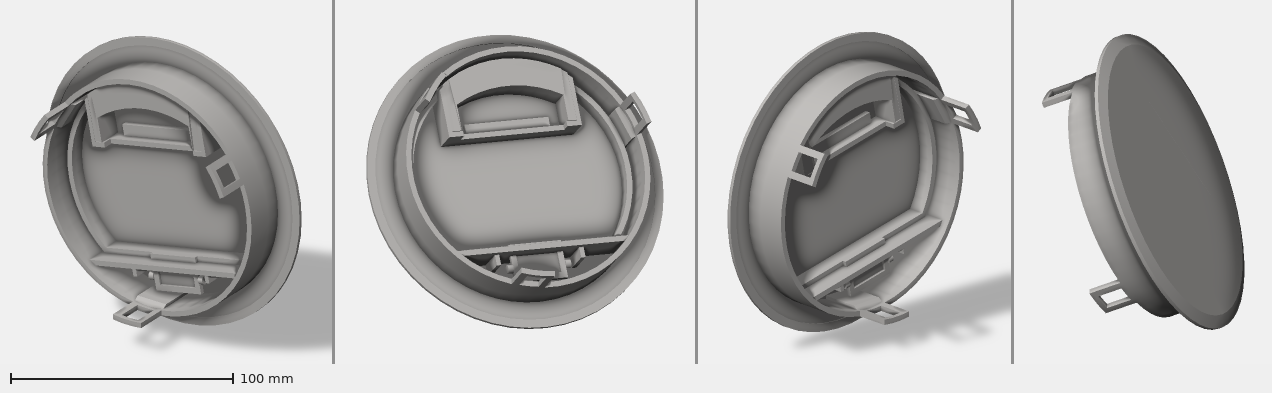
import cadquery as cq
import math


TURN = 11.2

FLANGE_R = 69.6
FLANGE_FACE_R = 64.0
FLANGE_CHAMFER = 2.1
FLANGE_DEPTH = 3.8
FLANGE_STEP_R = 65.7
FLANGE_STEP = 0.5

TUBE_R = 57.4
TUBE_BORE_R = 54.8
TUBE_DEPTH = 24.0

TAB_DEPTH = 39.7
TAB_WIDTH = 15.6
TAB_ANGLES = (30, 150, 270)
WINDOW_WIDTH = 9.0
WINDOW_START = 25.0
WINDOW_END = 37.3
PAD_R = 52.8
PAD_DEPTH = 20.2
PAD_RAMP_END = 23.0

SEAT_DEPTH = 2.1
LID_R = 52.8
LID_WALL = 2.5
LID_FLOOR = 3.2
LID_RIM = 11.1
LID_CHORD = -34.8

BAR_TOP = -35.1
BAR_WALL = 2.5
BAR_DEPTH = 19.8

NOTCH_HALF = 29.8
NOTCH_BOTTOM = 21.9
NOTCH_WALL_SIDE = 2.0
NOTCH_WALL_BOTTOM = 2.4
NOTCH_RIM = 16.8
NOTCH_MIDDLE_RIM = 11.8
NOTCH_MIDDLE_HALF = 24.8

FLAP_R = 53.7
FLAP_DEPTH = 17.7
FLAP_SIDE_DEPTH = 16.7
FLAP_TOP_HALF = 27.3
FLAP_BOTTOM_HALF = 25.5
FLAP_GAP = 0.3
POCKET_ARC_R = 52.3
POCKET_ARC_CENTRE = -11.5
POCKET_FLOOR = 4.9
TONGUE_HALF = 20.0
TONGUE_TOP = 27.5
TONGUE_DEPTH = 7.7

LATCH_HALF = 12.5
LATCH_BOTTOM = -50.1
LATCH_FRONT = 10.9
LATCH_BACK = 13.0
LATCH_POCKET_HALF = 9.9
LATCH_POCKET_BOTTOM = -47.3
LATCH_POCKET_DEPTH = 1.4
PIN_LENGTH = 2.5
PIN_R = 2.0
PIN_HEIGHT = -43.5

HOOK_PLACE = 20.2
HOOK_WIDTH = 2.1
HOOK_BOTTOM = -42.6
HOOK_DEPTH = 16.7

FAR = 83.5


def disc(radius, front, back):
    """A disc about Y between two depths."""
    return cq.Workplane("XZ", origin=(0, -front, 0)).circle(radius).extrude(back - front)


def block(left, right, bottom, top, front, back):
    """A box in the lid's own frame between two depths."""
    box = cq.Workplane("XY").box(right - left, back - front, top - bottom, centered=False)
    return box.translate((left, -back, bottom))


def turned(shape):
    """Turns a shape from the lid's own frame into place."""
    return shape.rotate((0, 0, 0), (0, 1, 0), -TURN)


def tab_sector(angle):
    """The strip of tube that runs on as a tab, less its window."""
    strip = cq.Workplane("XY").box(FAR, 2 * FAR, TAB_WIDTH, centered=(False, True, True))
    window = cq.Workplane("XY").box(
        FAR, WINDOW_END - WINDOW_START, WINDOW_WIDTH, centered=(False, True, True)
    ).translate((0, -(WINDOW_START + WINDOW_END) / 2, 0))
    return strip.cut(window).rotate((0, 0, 0), (0, 1, 0), -angle)


def tab_pad(angle):
    """A flat pad inside the tube at a tab, ramped off at its back end."""
    profile = [
        (PAD_R, -SEAT_DEPTH),
        (TUBE_BORE_R + 0.7, -SEAT_DEPTH),
        (TUBE_BORE_R + 0.7, -PAD_RAMP_END),
        (TUBE_BORE_R, -PAD_RAMP_END),
        (PAD_R, -PAD_DEPTH),
    ]
    pad = cq.Workplane("XY").polyline(profile).close().extrude(TAB_WIDTH / 2, both=True)
    return pad.rotate((0, 0, 0), (0, 1, 0), -angle)


def make_housing():
    step_depth = FLANGE_DEPTH - FLANGE_STEP
    profile = [
        (LID_R, 0),
        (FLANGE_FACE_R, 0),
        (FLANGE_R, -FLANGE_CHAMFER),
        (FLANGE_R, -FLANGE_DEPTH),
        (FLANGE_STEP_R, -FLANGE_DEPTH),
        (FLANGE_STEP_R, -step_depth),
        (TUBE_R, -step_depth),
        (TUBE_R, -TAB_DEPTH),
        (TUBE_BORE_R, -TAB_DEPTH),
        (TUBE_BORE_R, -SEAT_DEPTH),
        (LID_R, -SEAT_DEPTH),
    ]
    body = cq.Workplane("XY").polyline(profile).close().revolve(360, (0, 0, 0), (0, 1, 0))

    beyond_tube = disc(FAR, TUBE_DEPTH, TAB_DEPTH + 1.4)
    for angle in TAB_ANGLES:
        beyond_tube = beyond_tube.cut(tab_sector(angle))
    body = body.cut(beyond_tube)
    for angle in TAB_ANGLES:
        body = body.union(tab_pad(angle))

    plate = turned(block(-FAR, FAR, -FAR, LID_CHORD, 0, SEAT_DEPTH)).intersect(disc(LID_R, 0, SEAT_DEPTH))
    bar = turned(block(-FAR, FAR, BAR_TOP - BAR_WALL, BAR_TOP, 0, BAR_DEPTH))
    bar = bar.intersect(disc(TUBE_BORE_R, SEAT_DEPTH, BAR_DEPTH))
    body = body.union(plate).union(bar)

    for side in (-1, 1):
        place = side * HOOK_PLACE
        hook = block(
            place - HOOK_WIDTH / 2, place + HOOK_WIDTH / 2, HOOK_BOTTOM, BAR_TOP - BAR_WALL, 0, HOOK_DEPTH
        )
        body = body.union(turned(hook))

    latch_window = block(
        -LATCH_HALF, LATCH_HALF, BAR_TOP - BAR_WALL, BAR_TOP, LATCH_FRONT, LATCH_BACK
    )
    flap_opening = disc(FLAP_R, 0, SEAT_DEPTH).intersect(
        turned(block(-NOTCH_HALF, NOTCH_HALF, NOTCH_BOTTOM, FAR, 0, SEAT_DEPTH))
    )
    return body.cut(turned(latch_window)).cut(flap_opening)


def make_lid():
    outline = turned(block(-FAR, FAR, LID_CHORD, FAR, 0, NOTCH_RIM))
    inside = disc(LID_R - LID_WALL, LID_FLOOR, NOTCH_RIM).intersect(
        turned(block(-FAR, FAR, LID_CHORD + LID_WALL, FAR, 0, NOTCH_RIM))
    )
    lid = disc(LID_R, 0, LID_RIM).intersect(outline).cut(inside)

    outer_half = NOTCH_HALF + NOTCH_WALL_SIDE
    wall = block(-outer_half, outer_half, NOTCH_BOTTOM - NOTCH_WALL_BOTTOM, FAR, 0, NOTCH_RIM)
    low_middle = block(
        -NOTCH_MIDDLE_HALF, NOTCH_MIDDLE_HALF, 0, NOTCH_BOTTOM, NOTCH_MIDDLE_RIM, NOTCH_RIM
    )
    wall = turned(wall.cut(low_middle)).intersect(disc(LID_R, 0, NOTCH_RIM))
    notch = turned(block(-NOTCH_HALF, NOTCH_HALF, NOTCH_BOTTOM, FAR, 0, NOTCH_RIM))

    latch_rest = turned(
        block(-LATCH_HALF, LATCH_HALF, LID_CHORD, LID_CHORD + LID_WALL, LATCH_FRONT, LID_RIM)
    )
    return lid.union(wall).cut(notch).cut(latch_rest)


def make_flap():
    bottom = NOTCH_BOTTOM + FLAP_GAP
    base = block(-NOTCH_HALF, NOTCH_HALF, bottom, FAR, 0, FLAP_SIDE_DEPTH)
    raised = (
        cq.Workplane("XZ")
        .polyline([
            (-FLAP_BOTTOM_HALF, bottom),
            (FLAP_BOTTOM_HALF, bottom),
            (FLAP_TOP_HALF, FLAP_R),
            (-FLAP_TOP_HALF, FLAP_R),
        ])
        .close()
        .extrude(FLAP_DEPTH)
    )

    pocket = (
        cq.Workplane("XZ", origin=(0, -POCKET_FLOOR, 0))
        .center(0, POCKET_ARC_CENTRE)
        .circle(POCKET_ARC_R)
        .extrude(FLAP_DEPTH - POCKET_FLOOR)
        .intersect(block(-FLAP_BOTTOM_HALF, FLAP_BOTTOM_HALF, bottom, FAR, 0, FLAP_DEPTH))
    )
    tongue = block(-TONGUE_HALF, TONGUE_HALF, bottom, TONGUE_TOP, 0, TONGUE_DEPTH)
    flap = base.union(raised).cut(pocket).union(tongue)

    return turned(flap).intersect(disc(FLAP_R, 0, FLAP_DEPTH))


def make_latch():
    plate = block(-LATCH_HALF, LATCH_HALF, LATCH_BOTTOM, LID_CHORD + LID_WALL, LATCH_FRONT, LATCH_BACK)
    pocket = block(
        -LATCH_POCKET_HALF,
        LATCH_POCKET_HALF,
        LATCH_POCKET_BOTTOM,
        BAR_TOP - BAR_WALL,
        LATCH_BACK - LATCH_POCKET_DEPTH,
        LATCH_BACK,
    )
    latch = plate.cut(pocket)
    pin_half = LATCH_HALF + PIN_LENGTH
    pins = (
        cq.Workplane("YZ", origin=(-pin_half, -(LATCH_FRONT + LATCH_BACK) / 2, PIN_HEIGHT))
        .circle(PIN_R)
        .extrude(2 * pin_half)
    )
    pins = pins.cut(block(-LATCH_HALF, LATCH_HALF, -FAR, 0, 0, TUBE_DEPTH))
    return turned(latch.union(pins))


housing = make_housing()
lid = make_lid()
flap = make_flap()
latch = make_latch()

result = cq.Compound.makeCompound([housing.val(), lid.val(), flap.val(), latch.val()])